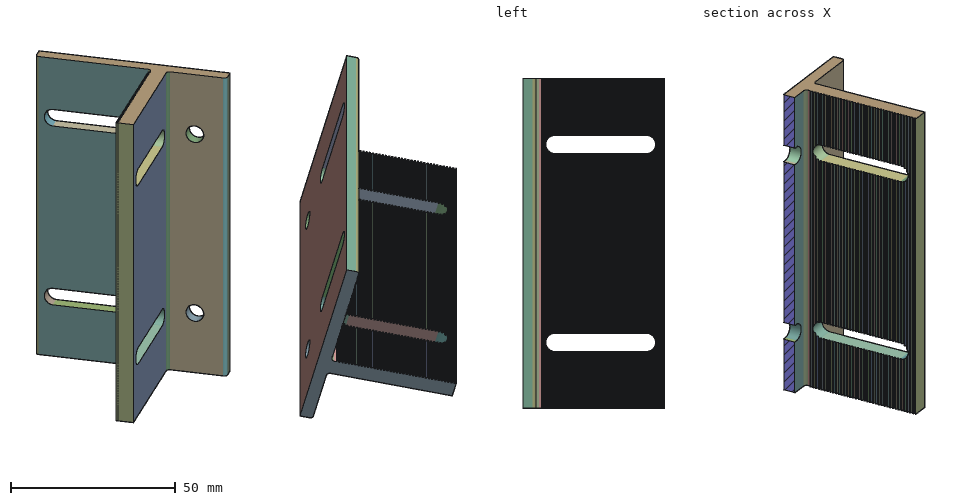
import cadquery as cq

width = 60.0
depth = 43.0
height = 100.0

flange_thickness = 4.0
flange_front = depth - flange_thickness
edge_radius = 1.0

web_right = 41.3
web_thickness = 5.0
web_left = web_right - web_thickness
root_radius = 1.0

tooth_pitch = 1.0
tooth_height = 0.5
crest_width = 0.3
tooth_count = 37
flank_run = tooth_pitch / 2 - crest_width

opening_width = 5.5
row_spacing = 60.0
row_heights = [(height - row_spacing) / 2, (height + row_spacing) / 2]
hole_x = 50.0
slot_margin = opening_width / 2
flange_slot_length = 31.0
web_slot_length = 33.3


def make_tee():
    """Flange and smooth web, with rounded front edges and root corners."""
    flange = cq.Workplane("XY").box(width, flange_thickness, height, centered=False)
    flange = flange.translate((0, flange_front, 0))
    flange = flange.edges("|Z and <Y").fillet(edge_radius)
    web = cq.Workplane("XY").box(web_thickness, flange_front, height, centered=False)
    tee = flange.union(web.translate((web_left, 0, 0)))
    root_edges = cq.selectors.BoxSelector(
        (web_left - root_radius, flange_front - root_radius, 0),
        (web_right + root_radius, flange_front + root_radius, height),
    )
    return tee.edges("|Z").edges(root_edges).fillet(root_radius)


def make_teeth():
    """Toothed strip on the web's left face, with half a tooth flush with the free end."""
    crest_x = web_left - tooth_height
    half_crest = crest_width / 2
    half_base = half_crest + flank_run
    points = [(web_right, 0), (crest_x, 0), (crest_x, half_crest), (web_left, half_base)]
    for index in range(1, tooth_count + 1):
        center_y = index * tooth_pitch
        points += [
            (web_left, center_y - half_base),
            (crest_x, center_y - half_crest),
            (crest_x, center_y + half_crest),
            (web_left, center_y + half_base),
        ]
    points.append((web_right, points[-1][1]))
    return cq.Workplane("XY").polyline(points).close().extrude(height)


def slot_cutter(plane, length, z, reach):
    """Level round-ended cutter, starting at the slot margin and reaching both ways from its plane."""
    return (
        cq.Workplane(plane)
        .center(slot_margin + length / 2, z)
        .slot2D(length, opening_width)
        .extrude(reach, both=True)
    )


def hole_cutter(z):
    """Round cutter along Y through the short side of the flange."""
    return cq.Workplane("XZ").center(hole_x, z).circle(opening_width / 2).extrude(depth, both=True)


result = make_tee().union(make_teeth())

for row_z in row_heights:
    result = result.cut(slot_cutter("XZ", flange_slot_length, row_z, depth))
    result = result.cut(hole_cutter(row_z))
    result = result.cut(slot_cutter("YZ", web_slot_length, row_z, width))